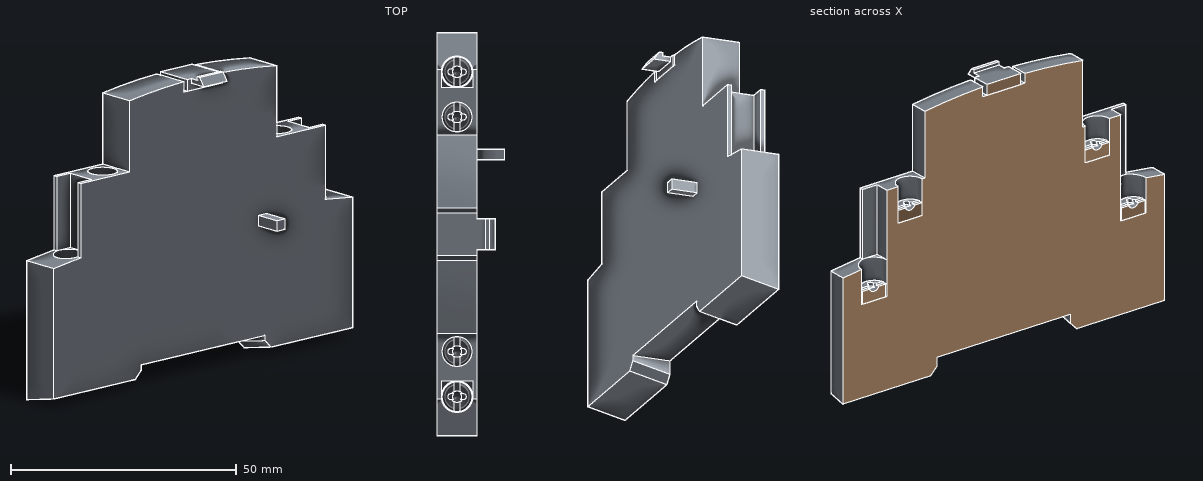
import cadquery as cq


half_length = 44.75
thickness = 8.95
shoulder_half = 36.6
tower_half = 22.0
end_top = 32.0
shoulder_foot = 33.0
shoulder_top = 50.1
tower_side_top = 66.5
tower_apex = 68.0

rail_half = 18.5
rail_height = 5.0
rail_chamfer = 1.8
underside_rise = 2.0

slot_half = 5.8
slot_floor = 65.5

plate_half = 4.7
plate_bottom = 67.1
plate_top = 68.2
stem_setback = 2.2
tongue_half = 3.5
hook_start = 10.8
hook_top_end = 11.6
hook_tip = 13.0
hook_top = 69.0

pin_size = 2.4
pin_length = 6.1
pin_y = 17.7
pin_top = shoulder_foot

screw_x = thickness / 2
inner_y = 26.0
outer_y = 36.1
inner_hole_radius = 3.3
outer_hole_radius = 3.5
screw_recess = 5.4
screw_radius = inner_hole_radius
screw_height = 3.6
head_fillet = 0.6
drive_width = 1.3
through_slot_depth = 0.45
short_arm_depth = 0.9
short_arm_length = 4.1
dimple_radius = 1.3

inner_screw_top = shoulder_top - screw_recess
outer_screw_top = shoulder_foot - screw_recess


def box_between(x0, x1, y0, y1, z0, z1):
    """Box given by its limits along each axis."""
    return cq.Workplane("XY").box(x1 - x0, y1 - y0, z1 - z0, centered=False).translate((x0, y0, z0))


def make_housing_blank():
    """Stepped profile with an arched top and a rail cutout below, extruded along X."""
    return (
        cq.Workplane("YZ")
        .moveTo(-half_length, 0)
        .lineTo(-half_length, end_top)
        .lineTo(-shoulder_half, shoulder_foot)
        .lineTo(-shoulder_half, shoulder_top)
        .lineTo(-tower_half, shoulder_top)
        .lineTo(-tower_half, tower_side_top)
        .threePointArc((0, tower_apex), (tower_half, tower_side_top))
        .lineTo(tower_half, shoulder_top)
        .lineTo(shoulder_half, shoulder_top)
        .lineTo(shoulder_half, shoulder_foot)
        .lineTo(half_length, end_top)
        .lineTo(half_length, 0)
        .lineTo(rail_half, 0)
        .lineTo(rail_half, rail_height)
        .lineTo(-rail_half, rail_height)
        .lineTo(-rail_half, 0)
        .close()
        .extrude(thickness)
    )


def make_underside_wedge():
    """Wedge that makes the underside rise towards +X."""
    return (
        cq.Workplane("XZ")
        .polyline([(0, 0), (thickness, 0), (thickness, underside_rise)])
        .close()
        .extrude(half_length, both=True)
    )


def chamfer_rail_mouth(body):
    """Chamfer both edges where the rail cutout meets the slanted underside."""
    for side in (-1, 1):
        edge_middle = (thickness / 2, side * rail_half, underside_rise / 2)
        body = body.edges(cq.NearestToPointSelector(edge_middle)).chamfer(rail_chamfer)
    return body


def make_bore(radius, y, screw_top, open_top):
    """Round hole from the underside of a screw up to the given level."""
    bottom = screw_top - screw_height
    return cq.Workplane("XY", origin=(screw_x, y, bottom)).circle(radius).extrude(open_top - bottom)


def make_terminal_cutters(side):
    """Both screw holes and the open-ended pocket on one side (-1 or 1) of the tower."""
    inner_bore = make_bore(inner_hole_radius, side * inner_y, inner_screw_top, shoulder_top)
    outer_bore = make_bore(outer_hole_radius, side * outer_y, outer_screw_top, shoulder_foot)
    pocket_edges = sorted([side * (outer_y - outer_hole_radius), side * shoulder_half])
    pocket = box_between(
        screw_x - outer_hole_radius,
        screw_x + outer_hole_radius,
        *pocket_edges,
        shoulder_foot,
        shoulder_top,
    )
    return [inner_bore, outer_bore, pocket]


def make_housing():
    body = make_housing_blank().cut(make_underside_wedge())
    body = chamfer_rail_mouth(body)
    body = body.cut(box_between(0, thickness, -slot_half, slot_half, slot_floor, tower_apex))
    for side in (-1, 1):
        for cutter in make_terminal_cutters(side):
            body = body.cut(cutter)
    return body


def make_slider():
    """Plate over the slot on a set-back stem, with a narrower hooked tongue beyond +X."""
    plate = box_between(0, thickness, -plate_half, plate_half, plate_bottom, plate_top)
    stem = box_between(stem_setback, thickness, -plate_half, plate_half, slot_floor, plate_bottom)
    tongue = (
        cq.Workplane("XZ")
        .moveTo(thickness, plate_bottom)
        .lineTo(hook_tip, plate_bottom)
        .lineTo(hook_top_end, hook_top)
        .lineTo(hook_start, hook_top)
        .lineTo(hook_start, plate_top)
        .lineTo(thickness, plate_top)
        .close()
        .extrude(tongue_half, both=True)
    )
    return plate.union(stem).union(tongue)


def make_pin():
    """Square pin standing on the +X face of the housing."""
    return box_between(
        thickness,
        thickness + pin_length,
        pin_y - pin_size / 2,
        pin_y + pin_size / 2,
        pin_top - pin_size,
        pin_top,
    )


def make_screw(y, top):
    """Round-edged screw with a through slot, a deeper short cross arm and a round central dimple."""
    head = (
        cq.Workplane("XY")
        .circle(screw_radius)
        .extrude(-screw_height)
        .faces(">Z")
        .edges()
        .fillet(head_fillet)
    )
    through_slot = cq.Workplane("XY").rect(drive_width, 2 * screw_radius).extrude(-through_slot_depth)
    short_arm = cq.Workplane("XY").slot2D(short_arm_length, drive_width).extrude(-short_arm_depth)
    dimple = cq.Workplane("XY").sphere(dimple_radius)
    screw = head.cut(through_slot).cut(short_arm).cut(dimple)
    return screw.translate((screw_x, y, top))


housing = make_housing()
slider = make_slider()
pin = make_pin()

screws = []
for side in (-1, 1):
    for distance, top in ((inner_y, inner_screw_top), (outer_y, outer_screw_top)):
        screws.append(make_screw(side * distance, top))

result = cq.Compound.makeCompound(
    [housing.val(), slider.val(), pin.val(), *[screw.val() for screw in screws]]
)